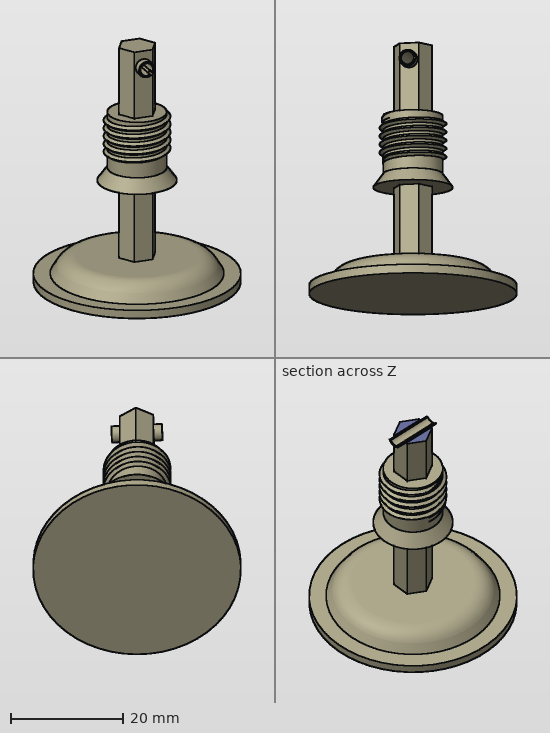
import cadquery as cq
import math

TOTAL_HEIGHT = 45.0
PLATE_RADIUS = 18.5
PLATE_THICKNESS = 1.58
DOME_TOP_Z = 5.0
DOME_BASE_RADIUS = 15.5
DOME_FLAT_RADIUS = 11.1
DOME_ROUND_RADIUS = 4.0
DOME_CONE_ANGLE = 55.0
HEX_FLATS = 6.05
HEX_CORNERS = HEX_FLATS / math.cos(math.radians(30))

BUSHING_BOTTOM_Z = 19.3
BUSHING_TOP_Z = 32.35
FLARE_HEIGHT = 2.48
FLARE_RADIUS = 7.1
BUSHING_RADIUS = 5.3

THREAD_FULL_TURNS = 5
THREAD_FULL_TURNS_RISE = 7.5
THREAD_PITCH = THREAD_FULL_TURNS_RISE / THREAD_FULL_TURNS
THREAD_FADE_ANGLE = 60.0
THREAD_TURNS = THREAD_FULL_TURNS + THREAD_FADE_ANGLE / 360
THREAD_CREST_RADIUS = 6.0
THREAD_ROOT_WIDTH = 1.1
THREAD_START_Z = 24.05
THREAD_START_ANGLE = 50.0
THREAD_EMBED = 0.1

PIN_RADIUS = 1.5
PIN_WALL = 0.3
PIN_LENGTH = 9.0
PIN_Z = 42.0
PIN_AXIS_ANGLE = -30.0
PIN_SLOT_WIDTH = 0.55
PIN_SLOT_ANGLE = -45.0


def hex_prism(bottom_z, top_z):
    """Hexagonal prism with two corners on the X axis."""
    return cq.Workplane("XY", origin=(0, 0, bottom_z)).polygon(6, HEX_CORNERS).extrude(top_z - bottom_z)


def pin_cylinder(radius):
    """Cylinder along the pin's axis, as long as the pin."""
    cylinder = cq.Workplane("YZ", origin=(0, 0, PIN_Z)).circle(radius).extrude(PIN_LENGTH / 2, both=True)
    return cylinder.rotate((0, 0, 0), (0, 0, 1), PIN_AXIS_ANGLE)


def dome_round_point(angle):
    """Point of the dome's rounded edge whose tangent slopes down by the angle in degrees."""
    turn = math.radians(angle)
    return (
        DOME_FLAT_RADIUS + DOME_ROUND_RADIUS * math.sin(turn),
        DOME_TOP_Z - DOME_ROUND_RADIUS * (1 - math.cos(turn)),
    )


def make_foot():
    """Disc, dome and stem, with a cross hole for the pin."""
    body = (
        cq.Workplane("XZ")
        .lineTo(PLATE_RADIUS, 0)
        .lineTo(PLATE_RADIUS, PLATE_THICKNESS)
        .lineTo(DOME_BASE_RADIUS, PLATE_THICKNESS)
        .lineTo(*dome_round_point(DOME_CONE_ANGLE))
        .threePointArc(dome_round_point(DOME_CONE_ANGLE / 2), dome_round_point(0))
        .lineTo(0, DOME_TOP_Z)
        .close()
        .revolve(360, (0, 0), (0, 1))
    )
    stem = hex_prism(0, TOTAL_HEIGHT)
    return body.union(stem).cut(pin_cylinder(PIN_RADIUS))


def thread_end_cutter(end_angle, end_z, is_top):
    """Ring with an off-centre hole that fades the ridge down to the sleeve at one end.

    The hole touches the sleeve at the end's angle and clears the crest one fade angle away.
    """
    fade_depth = THREAD_CREST_RADIUS - BUSHING_RADIUS
    offset = fade_depth / (1 - math.cos(math.radians(THREAD_FADE_ANGLE)))
    hole_radius = BUSHING_RADIUS + offset
    outer_radius = hole_radius + 2 * offset
    fade_rise = THREAD_PITCH * THREAD_FADE_ANGLE / 360
    reach = (THREAD_PITCH + fade_rise) / 2
    ring = (
        cq.Workplane("XY")
        .center(-offset, 0)
        .circle(outer_radius)
        .circle(hole_radius)
        .extrude(reach + THREAD_ROOT_WIDTH)
    )
    bottom_z = end_z - reach if is_top else end_z - THREAD_ROOT_WIDTH
    return ring.rotate((0, 0, 0), (0, 0, 1), end_angle).translate((0, 0, bottom_z))


def make_thread():
    """V-shaped ridge swept along a helix and faded out at both ends."""
    root_radius = BUSHING_RADIUS - THREAD_EMBED
    thread_height = THREAD_PITCH * THREAD_TURNS
    path = cq.Wire.makeHelix(THREAD_PITCH, thread_height, root_radius)
    ridge = (
        cq.Workplane("XZ")
        .moveTo(root_radius, -THREAD_ROOT_WIDTH / 2)
        .lineTo(THREAD_CREST_RADIUS, 0)
        .lineTo(root_radius, THREAD_ROOT_WIDTH / 2)
        .close()
        .sweep(cq.Workplane(path), isFrenet=True)
        .rotate((0, 0, 0), (0, 0, 1), THREAD_START_ANGLE)
        .translate((0, 0, THREAD_START_Z))
    )
    end_angle = THREAD_START_ANGLE + 360 * THREAD_TURNS
    ridge = ridge.cut(thread_end_cutter(THREAD_START_ANGLE, THREAD_START_Z, is_top=False))
    return ridge.cut(thread_end_cutter(end_angle, THREAD_START_Z + thread_height, is_top=True))


def make_bushing():
    """Flared sleeve with its thread, bored to fit the stem."""
    flare_top_z = BUSHING_BOTTOM_Z + FLARE_HEIGHT
    sleeve = (
        cq.Workplane("XZ")
        .moveTo(0, BUSHING_BOTTOM_Z)
        .lineTo(FLARE_RADIUS, BUSHING_BOTTOM_Z)
        .lineTo(BUSHING_RADIUS, flare_top_z)
        .lineTo(BUSHING_RADIUS, BUSHING_TOP_Z)
        .lineTo(0, BUSHING_TOP_Z)
        .close()
        .revolve(360, (0, 0), (0, 1))
    )
    bore = hex_prism(BUSHING_BOTTOM_Z, BUSHING_TOP_Z)
    return sleeve.cut(bore).union(make_thread())


def make_pin():
    """Tube with one slot along its whole length."""
    tube = pin_cylinder(PIN_RADIUS).cut(pin_cylinder(PIN_RADIUS - PIN_WALL))
    slot = (
        cq.Workplane("XY")
        .box(PIN_LENGTH, 2 * PIN_RADIUS, PIN_SLOT_WIDTH, centered=(True, False, True))
        .rotate((0, 0, 0), (1, 0, 0), PIN_SLOT_ANGLE)
        .rotate((0, 0, 0), (0, 0, 1), PIN_AXIS_ANGLE)
        .translate((0, 0, PIN_Z))
    )
    return tube.cut(slot)


foot = make_foot()
bushing = make_bushing()
pin = make_pin()

result = cq.Compound.makeCompound([foot.val(), bushing.val(), pin.val()])